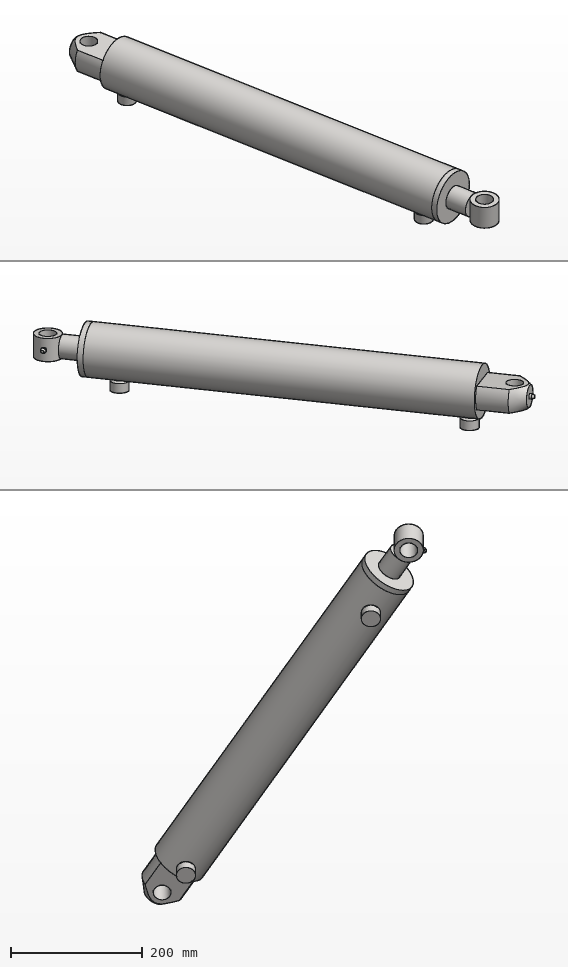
import cadquery as cq

TOTAL_LENGTH = 791.0
TOTAL_HEIGHT = 104.0

BARREL_DIAMETER = 85.5
BARREL_START = -312.5
GLAND_END = 315.0
GLAND_LENGTH = 9.5

PIN_HOLE_DIAMETER = 27.0

LUG_DIAMETER = 71.0
LUG_THICKNESS = 39.0
NOSE_TIP_DIAMETER = 35.5
NOSE_LENGTH = 24.0

PORT_DIAMETER = 29.0
PORT_CHAMFER = 3.0
PORT_SKIRT = 16.0
PORT_POSITIONS = (-293.0, 260.0)

ROD_DIAMETER = 38.0
EYE_DIAMETER = 44.0

NIPPLE_DIAMETER = 9.0
NIPPLE_TIP_DIAMETER = 5.0
NIPPLE_LENGTH = 8.0
NIPPLE_COLLAR = 4.0
NIPPLE_ROOT = 2.0

barrel_end = GLAND_END - GLAND_LENGTH
lug_tip = -TOTAL_LENGTH / 2 + NIPPLE_LENGTH
nose_start = lug_tip + NOSE_LENGTH
eye_center = TOTAL_LENGTH / 2 - EYE_DIAMETER / 2
rod_end = eye_center - EYE_DIAMETER / 2
port_bottom = BARREL_DIAMETER / 2 - TOTAL_HEIGHT


def axial_cylinder(diameter, start, end):
    """Cylinder on the X axis between two X positions."""
    return cq.Workplane("YZ", origin=(start, 0, 0)).circle(diameter / 2).extrude(end - start)


def cross_cylinder(diameter, x, height):
    """Vertical cylinder centred on the X axis."""
    return cq.Workplane("XY").center(x, 0).circle(diameter / 2).extrude(height / 2, both=True)


def make_nipple():
    """Grease nipple along +X, with its seat at the origin and a root behind it."""
    profile = (
        cq.Workplane("XY")
        .moveTo(-NIPPLE_ROOT, 0)
        .lineTo(-NIPPLE_ROOT, NIPPLE_DIAMETER / 2)
        .lineTo(NIPPLE_COLLAR, NIPPLE_DIAMETER / 2)
        .lineTo(NIPPLE_LENGTH, NIPPLE_TIP_DIAMETER / 2)
        .lineTo(NIPPLE_LENGTH, 0)
        .close()
    )
    return profile.revolve(360, (0, 0, 0), (1, 0, 0))


def make_lug():
    """Base lug with its pin hole and a nipple on the tip."""
    profile = (
        cq.Workplane("XY")
        .moveTo(lug_tip, 0)
        .lineTo(lug_tip, NOSE_TIP_DIAMETER / 2)
        .lineTo(nose_start, LUG_DIAMETER / 2)
        .lineTo(BARREL_START, LUG_DIAMETER / 2)
        .lineTo(BARREL_START, 0)
        .close()
    )
    stub = profile.revolve(360, (0, 0, 0), (1, 0, 0))
    flats = cq.Workplane("XY").box(TOTAL_LENGTH, LUG_DIAMETER, LUG_THICKNESS)
    pin_hole = cross_cylinder(PIN_HOLE_DIAMETER, nose_start, LUG_THICKNESS)
    nipple = make_nipple().rotate((0, 0, 0), (0, 0, 1), 180).translate((lug_tip, 0, 0))
    return stub.intersect(flats).cut(pin_hole).union(nipple)


def make_port(x):
    """Round port with a chamfered shoulder and a neck that runs up into the barrel."""
    shoulder_height = PORT_SKIRT + PORT_CHAMFER
    base = cq.Workplane("XY", origin=(x, 0, port_bottom))
    skirt = base.circle(PORT_DIAMETER / 2).extrude(shoulder_height).faces(">Z").chamfer(PORT_CHAMFER)
    neck = base.circle(PORT_DIAMETER / 2 - PORT_CHAMFER).extrude(-port_bottom)
    return skirt.union(neck)


def make_housing():
    """Barrel with its base lug and ports."""
    housing = axial_cylinder(BARREL_DIAMETER, BARREL_START, barrel_end).union(make_lug())
    for x in PORT_POSITIONS:
        housing = housing.union(make_port(x))
    return housing


def make_gland():
    """Ring flush with the barrel that guides the rod."""
    rod_hole = axial_cylinder(ROD_DIAMETER, barrel_end, GLAND_END)
    return axial_cylinder(BARREL_DIAMETER, barrel_end, GLAND_END).cut(rod_hole)


def make_rod():
    """Plain rod through the gland, ending where it touches the eye."""
    return axial_cylinder(ROD_DIAMETER, barrel_end, rod_end)


def make_eye():
    """Cross tube as tall as the rod is thick, with a nipple on its +Y side."""
    tube = cross_cylinder(EYE_DIAMETER, eye_center, ROD_DIAMETER)
    nipple = make_nipple().rotate((0, 0, 0), (0, 0, 1), 90).translate((eye_center, EYE_DIAMETER / 2, 0))
    pin_hole = cross_cylinder(PIN_HOLE_DIAMETER, eye_center, ROD_DIAMETER)
    return tube.cut(pin_hole).union(nipple)


housing = make_housing()
gland = make_gland()
rod = make_rod()
eye = make_eye()

result = cq.Compound.makeCompound([housing.val(), gland.val(), rod.val(), eye.val()])